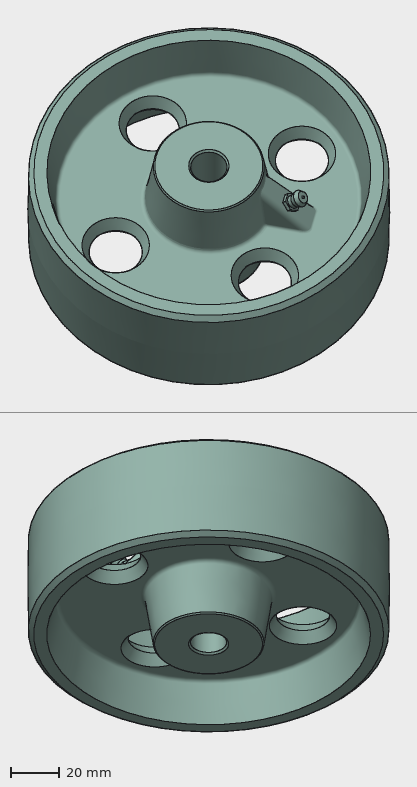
import cadquery as cq
import math

SELECTION_MARGIN = 0.1

WHEEL_RADIUS = 75.0
TREAD_EDGE_RADIUS = 74.7
RIM_HALF_WIDTH = 24.3
RIM_CHAMFER_WIDTH = 2.2
RIM_CHAMFER_HEIGHT = 2.0
RIM_INNER_RADIUS = 67.0
RIM_FOOT_RADIUS = 63.1
RIM_FILLET = 1.8

WEB_HALF_THICKNESS = 5.0
WINDOW_COUNT = 4
WINDOW_RADIUS = 11.0
WINDOW_MOUTH_RADIUS = 14.0
WINDOW_CIRCLE_RADIUS = 45.0

HUB_LENGTH = 58.0
HUB_HALF_LENGTH = HUB_LENGTH / 2
HUB_TOP_RADIUS = 23.0
HUB_FOOT_RADIUS = 26.5
HUB_FILLET = 2.0
HUB_EDGE_CHAMFER = 0.6
BORE_RADIUS = 7.5
BORE_CHAMFER = 0.82

PAD_DIRECTION = 45.0
PAD_TILT = 42.0
PAD_START = 18.0
PAD_END = 44.8
PAD_FOOT_HALF_WIDTH_START = 7.6
PAD_FOOT_HALF_WIDTH_END = 6.6
PAD_DRAFT = 6.0
PAD_EDGE_FILLET = 2.5
PAD_FOOT_FILLET = 1.2

NIPPLE_DISTANCE = 34.6
HEX_SIDES = 6
NIPPLE_HEX_ACROSS_FLATS = 7.0
NIPPLE_HEX_HEIGHT = 1.8
NIPPLE_NECK_RADIUS = 2.8
NIPPLE_NECK_TOP = 3.9
NIPPLE_HEAD_RADIUS = 3.1
NIPPLE_HEAD_BOTTOM = 4.6
NIPPLE_RIDGE_RADIUS = 3.6
NIPPLE_RIDGE_HEIGHT = 6.5
NIPPLE_TIP_RADIUS = 2.5
NIPPLE_LENGTH = 8.2
NIPPLE_BALL_RADIUS = 0.6


def revolve_about_z(profile):
    """Solid of revolution from (radius, z) points."""
    return cq.Workplane("XZ").polyline(profile).close().revolve(360, (0, 0, 0), (0, 1, 0))


def fillet_web_circle(body, radius, z, fillet):
    """Round the corner where the web face at height z meets a wall of the given radius."""
    margin = SELECTION_MARGIN
    around_circle = cq.selectors.BoxSelector(
        (-radius - margin, -radius - margin, z - margin),
        (radius + margin, radius + margin, z + margin),
        boundingbox=True,
    )
    largest = cq.selectors.RadiusNthSelector(-1)
    return body.edges(around_circle).edges(largest).fillet(fillet)


def wheel_blank():
    upper_half = [
        (BORE_RADIUS, HUB_HALF_LENGTH - BORE_CHAMFER),
        (BORE_RADIUS + BORE_CHAMFER, HUB_HALF_LENGTH),
        (HUB_TOP_RADIUS - HUB_EDGE_CHAMFER, HUB_HALF_LENGTH),
        (HUB_TOP_RADIUS, HUB_HALF_LENGTH - HUB_EDGE_CHAMFER),
        (HUB_FOOT_RADIUS, WEB_HALF_THICKNESS),
        (RIM_FOOT_RADIUS, WEB_HALF_THICKNESS),
        (RIM_INNER_RADIUS, RIM_HALF_WIDTH),
        (TREAD_EDGE_RADIUS - RIM_CHAMFER_WIDTH, RIM_HALF_WIDTH),
        (TREAD_EDGE_RADIUS, RIM_HALF_WIDTH - RIM_CHAMFER_HEIGHT),
    ]
    lower_half = [(radius, -z) for radius, z in reversed(upper_half)]
    blank = revolve_about_z(upper_half + [(WHEEL_RADIUS, 0)] + lower_half)
    for z in (WEB_HALF_THICKNESS, -WEB_HALF_THICKNESS):
        blank = fillet_web_circle(blank, HUB_FOOT_RADIUS, z, HUB_FILLET)
        blank = fillet_web_circle(blank, RIM_FOOT_RADIUS, z, RIM_FILLET)
    return blank


def pad_height(distance):
    """Z of the sloping pad surface, which runs down to the web face at PAD_END."""
    return WEB_HALF_THICKNESS + (PAD_END - distance) * math.tan(math.radians(PAD_TILT))


def pad():
    """Drafted block along +X, cut off by the slope; its root reaches mid-web, Z = 0."""
    root_spread = WEB_HALF_THICKNESS * math.tan(math.radians(PAD_DRAFT))
    root_end = PAD_END + root_spread
    start_half_width = PAD_FOOT_HALF_WIDTH_START + root_spread
    end_half_width = PAD_FOOT_HALF_WIDTH_END + root_spread
    block = (
        cq.Workplane("XY")
        .polyline([
            (PAD_START, -start_half_width),
            (root_end, -end_half_width),
            (root_end, end_half_width),
            (PAD_START, start_half_width),
        ])
        .close()
        .extrude(pad_height(PAD_START), taper=PAD_DRAFT)
    )
    below_slope = (
        cq.Workplane("XZ")
        .polyline([
            (PAD_START, 0),
            (root_end, 0),
            (root_end, pad_height(root_end)),
            (PAD_START, pad_height(PAD_START)),
        ])
        .close()
        .extrude(start_half_width, both=True)
    )
    tilt = math.radians(PAD_TILT)
    slope_normal = cq.Vector(math.sin(tilt), 0, math.cos(tilt))
    slope = block.intersect(below_slope).faces(cq.selectors.DirectionMinMaxSelector(slope_normal))
    return slope.edges("not |Y").fillet(PAD_EDGE_FILLET)


def aim_along_pad(body):
    return body.rotate((0, 0, 0), (0, 0, 1), PAD_DIRECTION)


def add_pad(body):
    body = body.union(aim_along_pad(pad()))
    margin = SELECTION_MARGIN
    foot = cq.selectors.BoxSelector(
        (0, 0, WEB_HALF_THICKNESS - margin),
        (PAD_END, PAD_END, WEB_HALF_THICKNESS + margin),
    )
    return body.edges(foot).edges("%LINE or %ELLIPSE").fillet(PAD_FOOT_FILLET)


def window_cutters():
    cutter = revolve_about_z([
        (0, WEB_HALF_THICKNESS),
        (WINDOW_MOUTH_RADIUS, WEB_HALF_THICKNESS),
        (WINDOW_RADIUS, 0),
        (WINDOW_MOUTH_RADIUS, -WEB_HALF_THICKNESS),
        (0, -WEB_HALF_THICKNESS),
    ]).val()
    places = cq.Workplane("XY").polarArray(WINDOW_CIRCLE_RADIUS, 0, 360, WINDOW_COUNT)
    return places.eachpoint(lambda place: cutter.moved(place))


def wheel():
    return add_pad(wheel_blank()).cut(window_cutters())


def nipple():
    half_hex_angle = 180 / HEX_SIDES
    hex_across_corners = NIPPLE_HEX_ACROSS_FLATS / math.cos(math.radians(half_hex_angle))
    hex_base = (
        cq.Workplane("XY").transformed(rotate=(0, 0, half_hex_angle))
        .polygon(HEX_SIDES, hex_across_corners).extrude(NIPPLE_HEX_HEIGHT)
    )
    turned = revolve_about_z([
        (0, 0),
        (NIPPLE_NECK_RADIUS, 0),
        (NIPPLE_NECK_RADIUS, NIPPLE_NECK_TOP),
        (NIPPLE_HEAD_RADIUS, NIPPLE_HEAD_BOTTOM),
        (NIPPLE_RIDGE_RADIUS, NIPPLE_RIDGE_HEIGHT),
        (NIPPLE_TIP_RADIUS, NIPPLE_LENGTH),
        (0, NIPPLE_LENGTH),
    ])
    ball = cq.Workplane("XY", (0, 0, NIPPLE_LENGTH)).sphere(NIPPLE_BALL_RADIUS)
    upright = hex_base.union(turned).union(ball)
    tilted = upright.rotate((0, 0, 0), (0, 1, 0), PAD_TILT)
    return aim_along_pad(tilted.translate((NIPPLE_DISTANCE, 0, pad_height(NIPPLE_DISTANCE))))


result = cq.Compound.makeCompound([wheel().val(), nipple().val()])